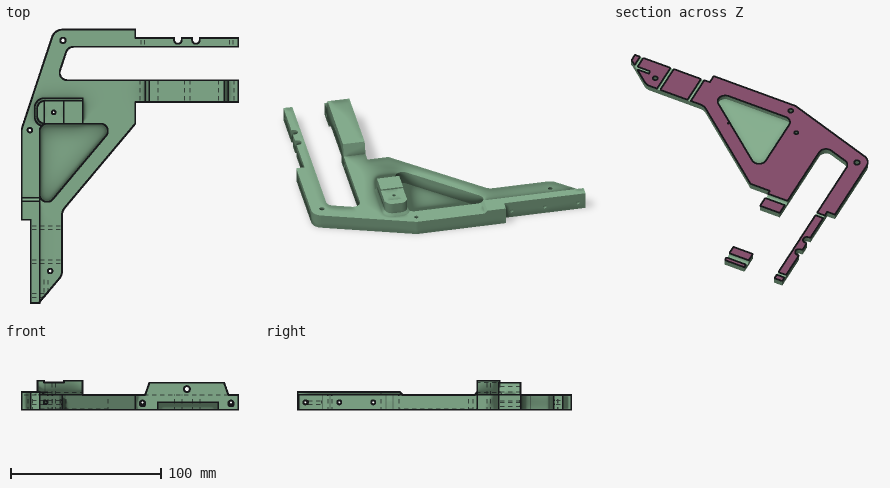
import cadquery as cq
import math

length_x = 144.3
length_y = 182.2
height = 19.5

plate_thickness = 10.0
bar_thickness = 6.0
rail_step_x = bar_thickness
rail_width = 2 * bar_thickness
rail_height = 12.0
rail_top_y = 68.0
rail_step_y = 55.4
inner_radius = 5.0
outer_radius = 7.5
bend_radius = 5.0
hole_z = plate_thickness / 2

shoulder_x = 75.8
shoulder_y = 119.5
bar_top_y = 176.5
bar_bottom_y = bar_top_y - bar_thickness
arm_top_y = 148.5
arm_bottom_y = 133.7
left_bend_y = 116.0
top_corner_x = 21.9
slant = top_corner_x / (length_y - left_bend_y)
gap_corner_x = 30.8
leg_right_x = 27.0
brace_slope = math.tan(math.radians(40))
brace_foot_y = shoulder_y - (shoulder_x - leg_right_x) / brace_slope
leg_tip_y = 0.7
leg_bend_y = leg_tip_y + (leg_right_x - rail_width) / brace_slope

pocket_floor = 1.0
pocket_right_x = 63.0
pocket_foot_y = shoulder_y - (pocket_right_x - rail_width) / brace_slope

block_left_x = 10.4
block_right_x = 40.6
block_top_y = 134.7
foot_chamfer = 1.8
saddle_left_x = 15.0
saddle_right_x = 28.0
saddle_depth = 1.1

lug_height = 18.2
lug_left_x = 82.2
lug_right_x = 137.8
lug_run = 3.0
relief_left_x = 90.5
relief_right_x = 130.8

plate_holes = [(27.5, 175.0, 3.5), (5.5, 115.2, 3.0), (21.3, 127.0, 2.4), (19.0, 21.3, 3.0)]
bar_hole_xs = [80.5, 139.4]
bar_hole_diameter = 2.5
arm_hole_diameter = 3.8
arm_hole_z = 4.2
lug_hole_x = 110.0
lug_hole_z = 13.8
rail_hole_diameter = 2.5
rail_hole_pitch = 22.6
rail_hole_first_y = 5.1
rail_hole_count = 3
tip_hole_x = 16.0
tip_hole_diameter = 2.4
tip_hole_depth = 10.0
notch_xs = [104.0, 116.0]
notch_width = 5.0
notch_bottom_y = 172.7


def box(x0, x1, y0, y1, z0, z1):
    return cq.Workplane("XY").box(x1 - x0, y1 - y0, z1 - z0, centered=False).translate((x0, y0, z0))


def fillet_vertical_edge(body, x, y, radius):
    reach = 0.2
    picker = cq.selectors.BoxSelector((x - reach, y - reach, -height), (x + reach, y + reach, height))
    return body.edges("|Z").edges(picker).fillet(radius)


def hole_along_y(x, z, diameter, y0, y1):
    profile = cq.Workplane("XZ", origin=(x, y0, z)).circle(diameter / 2)
    return profile.extrude(y0 - y1)


def make_plate():
    gap_low_x = gap_corner_x - slant * (bar_bottom_y - arm_top_y)
    outline = [
        (rail_step_x, 0),
        (rail_width, 0),
        (rail_width, leg_tip_y),
        (leg_right_x, leg_bend_y),
        (leg_right_x, brace_foot_y),
        (shoulder_x, shoulder_y),
        (shoulder_x, arm_bottom_y),
        (length_x, arm_bottom_y),
        (length_x, arm_top_y),
        (gap_low_x, arm_top_y),
        (gap_corner_x, bar_bottom_y),
        (length_x, bar_bottom_y),
        (length_x, bar_top_y),
        (shoulder_x, bar_top_y),
        (shoulder_x, length_y),
        (top_corner_x, length_y),
        (0, left_bend_y),
        (0, rail_step_y),
        (rail_step_x, rail_step_y),
    ]
    plate = cq.Workplane("XY").polyline(outline).close().extrude(plate_thickness)
    rounded_corners = [
        (leg_right_x, leg_bend_y, outer_radius),
        (leg_right_x, brace_foot_y, outer_radius),
        (gap_low_x, arm_top_y, inner_radius),
        (gap_corner_x, bar_bottom_y, inner_radius),
        (top_corner_x, length_y, outer_radius),
        (0, left_bend_y, bend_radius),
    ]
    for x, y, radius in rounded_corners:
        plate = fillet_vertical_edge(plate, x, y, radius)
    return plate


def make_rail():
    ramp_end_y = rail_top_y + rail_height - plate_thickness
    side = [(0, 0), (ramp_end_y, 0), (ramp_end_y, plate_thickness), (rail_top_y, rail_height), (0, rail_height)]
    rail = cq.Workplane("YZ").polyline(side).close().extrude(rail_width)
    return rail.cut(box(0, rail_step_x, 0, rail_step_y, 0, rail_height))


def make_block():
    block = box(block_left_x, block_right_x, shoulder_y, block_top_y, 0, height)
    block = block.edges("|Z and <X").fillet(inner_radius)
    foot = box(
        block_left_x - foot_chamfer,
        block_right_x + foot_chamfer,
        shoulder_y - foot_chamfer,
        block_top_y + foot_chamfer,
        0,
        plate_thickness + foot_chamfer,
    )
    foot = foot.edges("|Z and <X").fillet(inner_radius + foot_chamfer)
    foot = foot.faces(">Z").chamfer(foot_chamfer)
    foot = foot.intersect(box(0, block_right_x, 0, length_y, 0, height))
    saddle = box(saddle_left_x, saddle_right_x, 0, length_y, height - saddle_depth, height)
    return block.union(foot).cut(saddle)


def make_lug():
    front = [
        (lug_left_x, 0),
        (lug_right_x, 0),
        (lug_right_x, plate_thickness),
        (lug_right_x - lug_run, lug_height),
        (lug_left_x + lug_run, lug_height),
        (lug_left_x, plate_thickness),
    ]
    profile = cq.Workplane("XZ", origin=(0, arm_bottom_y, 0)).polyline(front).close()
    return profile.extrude(arm_bottom_y - arm_top_y)


def make_pocket():
    corners = [(rail_width, shoulder_y), (pocket_right_x, shoulder_y), (rail_width, pocket_foot_y)]
    pocket = cq.Workplane("XY", origin=(0, 0, pocket_floor)).polyline(corners).close().extrude(height)
    return pocket.edges("|Z").fillet(inner_radius)


def make_notch(x):
    radius = notch_width / 2
    arc_y = notch_bottom_y + radius
    notch = box(x - radius, x + radius, arc_y, length_y, 0, plate_thickness)
    return notch.union(cq.Workplane("XY").center(x, arc_y).circle(radius).extrude(plate_thickness))


result = make_plate().union(make_rail()).union(make_lug()).union(make_block())
result = result.cut(make_pocket())
result = result.cut(box(relief_left_x, relief_right_x, arm_bottom_y, arm_top_y, 0, hole_z))

for x in notch_xs:
    result = result.cut(make_notch(x))

for x, y, diameter in plate_holes:
    result = result.cut(cq.Workplane("XY").center(x, y).circle(diameter / 2).extrude(height))

for x in bar_hole_xs:
    result = result.cut(hole_along_y(x, hole_z, bar_hole_diameter, bar_bottom_y, bar_top_y))
    result = result.cut(hole_along_y(x, arm_hole_z, arm_hole_diameter, arm_bottom_y, arm_top_y))
result = result.cut(hole_along_y(lug_hole_x, lug_hole_z, arm_hole_diameter, arm_bottom_y, arm_top_y))

for index in range(rail_hole_count):
    y = rail_hole_first_y + index * rail_hole_pitch
    rail_hole = cq.Workplane("YZ").center(y, hole_z).circle(rail_hole_diameter / 2).extrude(leg_right_x)
    result = result.cut(rail_hole)

tip_face_y = leg_tip_y + (tip_hole_x - rail_width) / brace_slope
result = result.cut(hole_along_y(tip_hole_x, hole_z, tip_hole_diameter, 0, tip_face_y + tip_hole_depth))